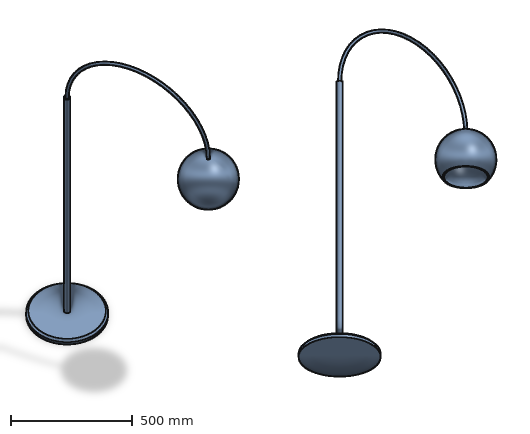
import cadquery as cq
import math

total_height = 1632.0
base_diameter = 338.0
base_height = 25.0
base_chamfer = 10.0
pole_diameter = 26.0
arm_diameter = 15.0
arm_span = 674.0
shade_diameter = 253.0
shade_height = 209.0
shade_wall = 5.0

arm_radius = arm_span / 2
pole_top = total_height - arm_radius - arm_diameter / 2
shade_radius = shade_diameter / 2
shade_inner_radius = shade_radius - shade_wall


def make_base():
    """Flat disc with a chamfered upper rim."""
    disc = cq.Workplane("XY").circle(base_diameter / 2).extrude(base_height)
    return disc.faces(">Z").edges().chamfer(base_chamfer)


def make_pole():
    """Straight round pole from the top of the base to the foot of the arm."""
    pole = cq.Workplane("XY").workplane(offset=base_height)
    return pole.circle(pole_diameter / 2).extrude(pole_top - base_height)


def make_arm():
    """Half-circle arm from the top of the pole, ending in a short tail through the shade wall."""
    path = (
        cq.Workplane("XZ", origin=(0, 0, pole_top))
        .moveTo(0, 0)
        .threePointArc((arm_radius, arm_radius), (arm_span, 0))
        .lineTo(arm_span, -shade_wall)
    )
    section = cq.Workplane("XY", origin=(0, 0, pole_top)).circle(arm_diameter / 2)
    return section.sweep(path)


def make_shade(arm):
    """Hollow spherical shade, cut flat and open at the bottom, with a hole for the arm end."""
    rim_z = shade_radius - shade_height
    outer_rim = math.sqrt(shade_radius**2 - rim_z**2)
    inner_rim = math.sqrt(shade_inner_radius**2 - rim_z**2)
    diagonal = math.sqrt(0.5)
    profile = (
        cq.Workplane("XZ")
        .moveTo(0, shade_radius)
        .threePointArc((shade_radius * diagonal, shade_radius * diagonal), (outer_rim, rim_z))
        .lineTo(inner_rim, rim_z)
        .threePointArc(
            (shade_inner_radius * diagonal, shade_inner_radius * diagonal),
            (0, shade_inner_radius),
        )
        .close()
    )
    shell = profile.revolve(360, (0, 0, 0), (0, 1, 0))
    return shell.translate((arm_span, 0, pole_top - shade_radius)).cut(arm)


base = make_base()
pole = make_pole()
arm = make_arm()
shade = make_shade(arm)

result = cq.Compound.makeCompound([base.val(), pole.val(), arm.val(), shade.val()])